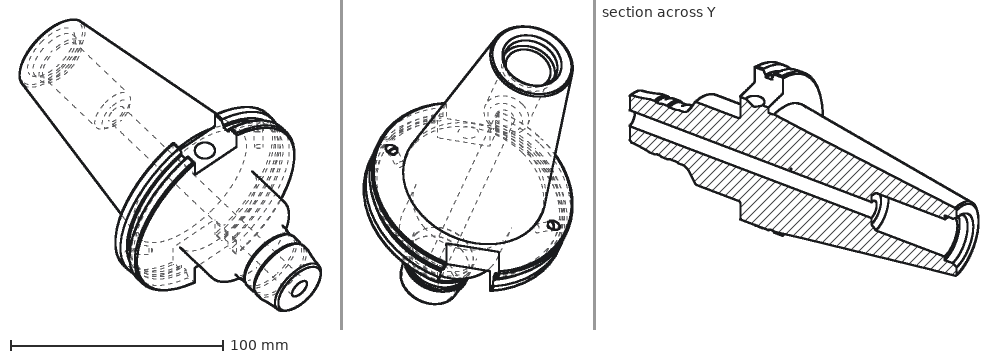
import cadquery as cq
import math


GAUGE_DIAMETER = 69.85
TAPER_LENGTH = 101.6
TAPER_RATIO = 7 / 24
TAIL_RADIUS = (GAUGE_DIAMETER - TAPER_RATIO * TAPER_LENGTH) / 2
TAIL_CHAMFER = 0.8
NECK_DIAMETER = 69.25
NECK_STEP_LENGTH = 1.1
NECK_FILLET = 0.5

FLANGE_DIAMETER = 98.43
FLANGE_RADIUS = FLANGE_DIAMETER / 2
FLANGE_START = TAPER_LENGTH + 3.18
FLANGE_END = TAPER_LENGTH + 19.05
FLANGE_CHAMFER = 0.8

GROOVE_CENTER = TAPER_LENGTH + 11.1
GROOVE_FLOOR_WIDTH = 3.6
GROOVE_MOUTH_WIDTH = 6.6
GROOVE_FLOOR_RADIUS = 45.2
GROOVE_WALL_SLOPE = math.radians(60)

SLOT_WIDTH = 25.7
UPPER_SLOT_FLOOR = 37.7
LOWER_SLOT_FLOOR = 35.3
SLOT_FLOOR_FILLET = 0.5
SLOT_RIM_CHAMFER = 0.6

DIMPLE_DIAMETER = 9.53
DRILL_POINT_ANGLE = math.radians(118)

FACE_HOLE_MOUTH_DIAMETER = 5.0
FACE_HOLE_MOUTH_DEPTH = 1.5
FACE_HOLE_DIAMETER = 4.13
FACE_HOLE_DEPTH = 10.0
FACE_HOLE_RADIUS = 42.0
FACE_HOLE_TILT = math.radians(40)
FACE_HOLE_ANGLES = (20, 200)

BODY_RADIUS = 49.5 / 2
BODY_FILLET = 0.8
BODY_END = 144.3
SHOULDER_SLOPE = math.radians(60)
SHOULDER_OUTER_ROUND = 2.0
SHOULDER_INNER_ROUND = 4.0

TOTAL_LENGTH = 182.1
NOSE_RADIUS = 32 / 2
RELIEF_RADIUS = 31 / 2
RELIEF_ENTRY_LENGTH = 1.1
RELIEF_EXIT_LENGTH = 1.0
RELIEFS = ((154.9, 161.0), (164.3, 168.1))
TIP_START = 170.7
TIP_RADIUS = 14.2
TIP_CHAMFER = 1.1
TIP_CURVE_RADIUS = 50.0

BORE_MOUTH_DIAMETER = 29.0
COUNTERBORE_DIAMETER = 26.2
MOUTH_CHAMFER_LENGTH = 2.3
COUNTERBORE_DEPTH = 6.7
THREAD_BORE_DIAMETER = 21.97
THREAD_BORE_DEPTH = 45.0
BORE_FLOOR_DIAMETER = 16.92
THROUGH_DIAMETER = 9.2


def shaft():
    """Outer turned shape."""
    tip_end = TOTAL_LENGTH - TIP_CHAMFER
    groove_wall_drop = (GROOVE_MOUTH_WIDTH - GROOVE_FLOOR_WIDTH) / 2 * math.tan(GROOVE_WALL_SLOPE)
    groove_corner_radius = FLANGE_RADIUS - groove_wall_drop

    sine = math.sin(SHOULDER_SLOPE)
    cosine = math.cos(SHOULDER_SLOPE)
    cone_start = BODY_END + SHOULDER_OUTER_ROUND * sine
    cone_start_radius = BODY_RADIUS - SHOULDER_OUTER_ROUND * (1 - cosine)
    cone_end_radius = NOSE_RADIUS + SHOULDER_INNER_ROUND * (1 - cosine)
    cone_end = cone_start + (cone_start_radius - cone_end_radius) / math.tan(SHOULDER_SLOPE)
    nose_start = cone_end + SHOULDER_INNER_ROUND * sine

    outline = (
        cq.Workplane("XY")
        .lineTo(0, TAIL_RADIUS - TAIL_CHAMFER)
        .lineTo(TAIL_CHAMFER, TAIL_RADIUS + TAIL_CHAMFER * TAPER_RATIO / 2)
        .lineTo(TAPER_LENGTH, GAUGE_DIAMETER / 2)
        .lineTo(TAPER_LENGTH + NECK_STEP_LENGTH, NECK_DIAMETER / 2)
        .lineTo(FLANGE_START - NECK_FILLET, NECK_DIAMETER / 2)
        .radiusArc((FLANGE_START, NECK_DIAMETER / 2 + NECK_FILLET), -NECK_FILLET)
        .lineTo(FLANGE_START, FLANGE_RADIUS - FLANGE_CHAMFER)
        .lineTo(FLANGE_START + FLANGE_CHAMFER, FLANGE_RADIUS)
        .lineTo(GROOVE_CENTER - GROOVE_MOUTH_WIDTH / 2, FLANGE_RADIUS)
        .lineTo(GROOVE_CENTER - GROOVE_FLOOR_WIDTH / 2, groove_corner_radius)
        .lineTo(GROOVE_CENTER - GROOVE_FLOOR_WIDTH / 2, GROOVE_FLOOR_RADIUS)
        .lineTo(GROOVE_CENTER + GROOVE_FLOOR_WIDTH / 2, GROOVE_FLOOR_RADIUS)
        .lineTo(GROOVE_CENTER + GROOVE_FLOOR_WIDTH / 2, groove_corner_radius)
        .lineTo(GROOVE_CENTER + GROOVE_MOUTH_WIDTH / 2, FLANGE_RADIUS)
        .lineTo(FLANGE_END - FLANGE_CHAMFER, FLANGE_RADIUS)
        .lineTo(FLANGE_END, FLANGE_RADIUS - FLANGE_CHAMFER)
        .lineTo(FLANGE_END, BODY_RADIUS + BODY_FILLET)
        .radiusArc((FLANGE_END + BODY_FILLET, BODY_RADIUS), -BODY_FILLET)
        .lineTo(BODY_END, BODY_RADIUS)
        .radiusArc((cone_start, cone_start_radius), SHOULDER_OUTER_ROUND)
        .lineTo(cone_end, cone_end_radius)
        .radiusArc((nose_start, NOSE_RADIUS), -SHOULDER_INNER_ROUND)
    )
    entry_half_length = RELIEF_ENTRY_LENGTH / 2
    entry_half_drop = (NOSE_RADIUS - RELIEF_RADIUS) / 2
    entry_round = (entry_half_length**2 + entry_half_drop**2) / (2 * entry_half_drop)
    for start, end in RELIEFS:
        outline = (
            outline.lineTo(start, NOSE_RADIUS)
            .radiusArc((start + entry_half_length, NOSE_RADIUS - entry_half_drop), entry_round)
            .radiusArc((start + RELIEF_ENTRY_LENGTH, RELIEF_RADIUS), -entry_round)
            .lineTo(end - RELIEF_EXIT_LENGTH, RELIEF_RADIUS)
            .lineTo(end, NOSE_RADIUS)
        )
    outline = (
        outline.lineTo(TIP_START, NOSE_RADIUS)
        .radiusArc((tip_end, TIP_RADIUS), -TIP_CURVE_RADIUS)
        .lineTo(TOTAL_LENGTH, TIP_RADIUS - TIP_CHAMFER)
        .lineTo(TOTAL_LENGTH, 0)
        .close()
    )
    return outline.revolve(360, (0, 0, 0), (1, 0, 0))


def bore():
    """Stepped bore along the whole turning axis."""
    cone_length = (THREAD_BORE_DIAMETER - BORE_FLOOR_DIAMETER) / 2
    floor_depth = THREAD_BORE_DEPTH + cone_length
    return (
        cq.Workplane("XY")
        .lineTo(0, BORE_MOUTH_DIAMETER / 2)
        .lineTo(MOUTH_CHAMFER_LENGTH, COUNTERBORE_DIAMETER / 2)
        .lineTo(COUNTERBORE_DEPTH, COUNTERBORE_DIAMETER / 2)
        .lineTo(COUNTERBORE_DEPTH, THREAD_BORE_DIAMETER / 2)
        .lineTo(THREAD_BORE_DEPTH, THREAD_BORE_DIAMETER / 2)
        .lineTo(floor_depth, BORE_FLOOR_DIAMETER / 2)
        .lineTo(floor_depth, THROUGH_DIAMETER / 2)
        .lineTo(TOTAL_LENGTH, THROUGH_DIAMETER / 2)
        .lineTo(TOTAL_LENGTH, 0)
        .close()
        .revolve(360, (0, 0, 0), (1, 0, 0))
    )


def drive_slots():
    """Two slots through the full thickness of the flange, with rounded floor corners."""
    slots = cq.Workplane("XY")
    for floor, side, floor_face in ((UPPER_SLOT_FLOOR, 1, "<Z"), (LOWER_SLOT_FLOOR, -1, ">Z")):
        depth = FLANGE_RADIUS - floor
        slot = (
            cq.Workplane("XY")
            .box(FLANGE_END - FLANGE_START, SLOT_WIDTH, depth)
            .translate(((FLANGE_START + FLANGE_END) / 2, 0, side * (floor + depth / 2)))
        )
        slots = slots.add(slot.faces(floor_face).edges("|X").fillet(SLOT_FLOOR_FILLET))
    return slots.combine()


def chamfer_slot_rims(part):
    """Break the straight edges where the slot walls meet the flange rim."""
    reach = SLOT_WIDTH / 2 + SLOT_RIM_CHAMFER
    rim_height = math.sqrt(FLANGE_RADIUS**2 - (SLOT_WIDTH / 2) ** 2)
    lower_limit = rim_height - SLOT_RIM_CHAMFER
    for side in (1, -1):
        near_rim = cq.selectors.BoxSelector(
            (FLANGE_START, -reach, side * lower_limit),
            (FLANGE_END, reach, side * FLANGE_RADIUS),
        )
        part = part.edges("|X").edges(near_rim).chamfer(SLOT_RIM_CHAMFER)
    return part


def drilled_hole(diameter, depth, mouth, direction):
    """Blind hole with a drill point; it also reaches one diameter out of its mouth."""
    radius = diameter / 2
    point_length = radius / math.tan(DRILL_POINT_ANGLE / 2)
    hole = (
        cq.Workplane("XZ")
        .moveTo(0, -diameter)
        .lineTo(radius, -diameter)
        .lineTo(radius, depth)
        .lineTo(0, depth + point_length)
        .close()
        .revolve(360, (0, 0, 0), (0, 1, 0))
    )
    plane = cq.Plane(origin=mouth, normal=direction)
    return cq.Workplane(hole.val().moved(cq.Location(plane)))


def slot_dimple():
    """Conical dimple in the middle of the upper slot floor."""
    mouth = (GROOVE_CENTER, 0, UPPER_SLOT_FLOOR)
    return drilled_hole(DIMPLE_DIAMETER, 0, mouth, (0, 0, -1))


def face_hole(angle):
    """Stepped hole in the flange face, leaning towards the turning axis."""
    outward_y = math.cos(math.radians(angle))
    outward_z = math.sin(math.radians(angle))
    lean = math.sin(FACE_HOLE_TILT)
    mouth = (FLANGE_START, FACE_HOLE_RADIUS * outward_y, FACE_HOLE_RADIUS * outward_z)
    direction = (math.cos(FACE_HOLE_TILT), -lean * outward_y, -lean * outward_z)
    wide_mouth = cq.Solid.makeCylinder(
        FACE_HOLE_MOUTH_DIAMETER / 2,
        FACE_HOLE_MOUTH_DIAMETER + FACE_HOLE_MOUTH_DEPTH,
        cq.Vector(mouth) - cq.Vector(direction) * FACE_HOLE_MOUTH_DIAMETER,
        cq.Vector(direction),
    )
    return drilled_hole(FACE_HOLE_DIAMETER, FACE_HOLE_DEPTH, mouth, direction).union(cq.Workplane(wide_mouth))


result = shaft().cut(bore()).cut(drive_slots())
result = chamfer_slot_rims(result)
result = result.cut(slot_dimple())
for hole_angle in FACE_HOLE_ANGLES:
    result = result.cut(face_hole(hole_angle))